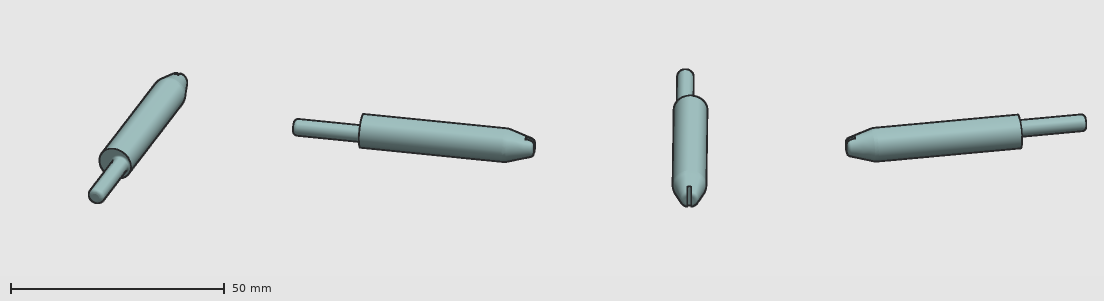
import cadquery as cq
import math

total_length = 57.0
body_diameter = 8.0
body_radius = body_diameter / 2

pin_length = 16.0
pin_radius = body_radius / 2
pin_offset = 1.3
pin_root_fillet = 0.5
pin_end_fillet = 1.0

taper_angle = 17.0
taper_length = 6.5
taper_blend_radius = 3.0
tip_fillet = 1.0

slot_width = 0.9
slot_depth = 2.0

body_length = total_length - pin_length
tip_radius = body_radius - taper_length * math.tan(math.radians(taper_angle))


def make_body():
    """Cylinder from Y = 0 with a conical tip, rounded at both ends of the cone."""
    body = (
        cq.Workplane("XY")
        .moveTo(0, 0)
        .lineTo(body_radius, 0)
        .lineTo(body_radius, body_length - taper_length)
        .lineTo(tip_radius, body_length)
        .lineTo(0, body_length)
        .close()
        .revolve(360, (0, 0, 0), (0, 1, 0))
    )
    body = body.edges(cq.selectors.NearestToPointSelector((0, body_length - taper_length, 0)))
    body = body.fillet(taper_blend_radius)
    return body.faces(">Y").edges().fillet(tip_fillet)


def make_pin():
    """Pin profile with a rounded free end and a concave fillet at the body face."""
    profile = (
        cq.Workplane("XY")
        .moveTo(0, 0)
        .lineTo(pin_radius + pin_root_fillet, 0)
        .radiusArc((pin_radius, -pin_root_fillet), -pin_root_fillet)
        .lineTo(pin_radius, -pin_length + pin_end_fillet)
        .radiusArc((pin_radius - pin_end_fillet, -pin_length), pin_end_fillet)
        .lineTo(0, -pin_length)
        .close()
    )
    pin = profile.revolve(360, (0, 0, 0), (0, 1, 0))
    return pin.translate((pin_offset, 0, 0))


def make_slot():
    """Cutter running through the tip along Z."""
    slot = cq.Workplane("XY").box(slot_width, slot_depth, body_diameter)
    return slot.translate((0, body_length - slot_depth / 2, 0))


result = make_body().union(make_pin()).cut(make_slot())